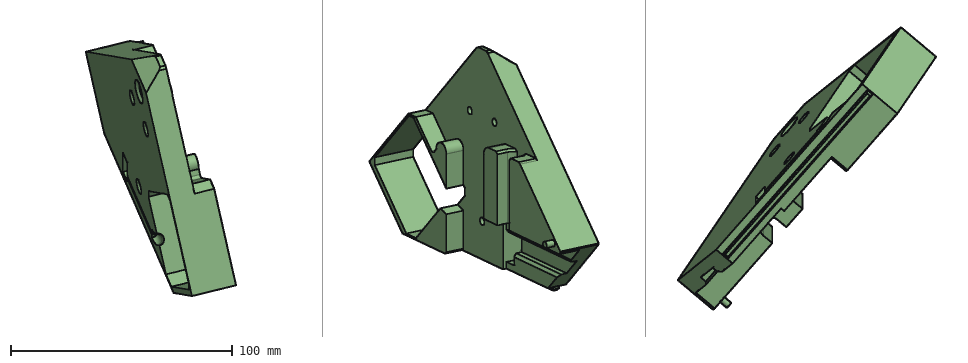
import cadquery as cq
import math

BODY_DEPTH = 21.0
PLATE_DEPTH = 11.65
BODY_HEIGHT = 100.4
UPPER_SIDE_SUM = 104.3
LOWER_SIDE_DIFF = 50.58
LEFT_CORNER_X = -77.15
TOP_FLAT_HALF = 3.2
TOP_BEVEL_HALF = 4.6
SLANT_START_Z = 93.7
SLANT_END_Y = 9.1

WINDOW_CENTRE = (43.5, 29.3)
WINDOW_HALF_WIDTH = 29.4
WINDOW_HALF_HEIGHT = 28.4
WINDOW_UPPER_LEFT_DIFF = -16.2
WINDOW_LOWER_RIGHT_DIFF = 46.5
WINDOW_LOWER_LEFT_SUM = 40.5
WINDOW_UPPER_RIGHT_SUM = 103.0
WINDOW_WALL = (UPPER_SIDE_SUM - WINDOW_UPPER_RIGHT_SUM) / math.sqrt(2)

GAP_HALF = 15.1
BLOCK_TOP_Z = 60.4
BLOCK_BOTTOM_Z = 25.4
BLOCK_EDGE_CUT = 0.6
BLOCK_ROUND = 4.3
UPPER_LEFT_WALL = 1.9
FINGER_RADIUS = 4.1
FINGER_CENTRE_Z = 48.0
FINGER_FOOT_X = 26.0
FINGER_FOOT_RADIUS = 1.6
RIGHT_BLOCK_SIDE_Z = 19.1
RIGHT_BLOCK_TOP_Z = 20.7
RIGHT_BLOCK_CHAMFER = 1.0

SLOT_X = -31.2
SLOT_Y = 15.7
SLOT_RADIUS = 4.85
SLOT_CHAMFER = 1.1

SCREW_POSITIONS = [(-10.0, 68.25), (10.0, 68.25), (0.0, 18.25)]
SCREW_DIAMETER = 3.5
SCREW_HEAD_DIAMETER = 7.0
RECESS_POSITION = (0.0, 83.2)
RECESS_DIAMETER = 11.2
RECESS_FLOOR_DIAMETER = 8.3

PORT_LEFT, PORT_RIGHT = -23.1, -17.0
PORT_BOTTOM, PORT_TOP = 3.3, 16.3
GROOVE_Z = 6.5
GROOVE_WIDTH = 1.35
GROOVE_DEPTH = 1.5
CABLE_START_X = 19.0
CABLE_RADIUS = 2.75
CABLE_BEND_RADIUS = 8.0
CABLE_BEND_ANGLE = 45.0

POCKET_FLOOR_Y = 9.8
POCKET_ROUND = 2.0
CHANNEL_FLOOR_Y = 5.65
CHANNEL_BEVEL_Y = 8.6
CHANNEL_BOTTOM, CHANNEL_TOP = 8.9, 17.2
CHANNEL_BEVEL = 1.6

RAIL_DROP = 2.28
RAIL_SHOULDER = 1.2
RAIL_FRONT_Y, RAIL_BACK_Y = 3.5, 6.6
RAIL_TAPER = 0.7
RAIL_HALF_LENGTH = 50.2
RAIL_END_TAPER = 1.0
PIN_X, PIN_Z = -71.35, 29.5
PIN_DIAMETER = 3.1
PIN_LENGTH = 4.5

MARGIN = 5.0


def front_plane(y):
    """Sketch plane at depth y with local axes (X, Z); it extrudes toward -Y."""
    return cq.Workplane("XZ", origin=(0, y, 0))


def prism(points, y_from, y_to):
    """Prism with an (x, z) outline between two depths."""
    return front_plane(y_from).polyline(points).close().extrude(y_from - y_to)


def cylinder(position, diameter, y_from, y_to):
    x, z = position
    return front_plane(y_from).center(x, z).circle(diameter / 2).extrude(y_from - y_to)


def cone(position, front_diameter, back_diameter):
    """Cone with 45 degree sides that narrows inward from the front face."""
    x, z = position
    depth = (front_diameter - back_diameter) / 2
    solid = cq.Solid.makeCone(
        front_diameter / 2, back_diameter / 2, depth, cq.Vector(x, 0, z), cq.Vector(0, 1, 0)
    )
    return cq.Workplane(obj=solid)


def window_outline(offset):
    """Corners of the window, moved outward by offset, clockwise from the lower left flat."""
    x, z = WINDOW_CENTRE
    slant = offset * math.sqrt(2)
    left, right = x - WINDOW_HALF_WIDTH - offset, x + WINDOW_HALF_WIDTH + offset
    bottom, top = z - WINDOW_HALF_HEIGHT - offset, z + WINDOW_HALF_HEIGHT + offset
    upper_left = WINDOW_UPPER_LEFT_DIFF - slant
    lower_right = WINDOW_LOWER_RIGHT_DIFF + slant
    lower_left = WINDOW_LOWER_LEFT_SUM - slant
    upper_right = WINDOW_UPPER_RIGHT_SUM + slant
    return [
        (left, lower_left - left),
        (left, left - upper_left),
        (top + upper_left, top),
        (upper_right - top, top),
        (right, upper_right - right),
        (right, right - lower_right),
        (bottom + lower_right, bottom),
        (lower_left - bottom, bottom),
    ]


def body_outline():
    right_corner_x = (UPPER_SIDE_SUM + LOWER_SIDE_DIFF) / 2
    bevel_z = UPPER_SIDE_SUM - TOP_BEVEL_HALF
    return [
        (-LOWER_SIDE_DIFF, 0),
        (LEFT_CORNER_X, -LEFT_CORNER_X - LOWER_SIDE_DIFF),
        (LEFT_CORNER_X, UPPER_SIDE_SUM + LEFT_CORNER_X),
        (-TOP_BEVEL_HALF, bevel_z),
        (-TOP_FLAT_HALF, BODY_HEIGHT),
        (TOP_FLAT_HALF, BODY_HEIGHT),
        (TOP_BEVEL_HALF, bevel_z),
        (right_corner_x, right_corner_x - LOWER_SIDE_DIFF),
        (LOWER_SIDE_DIFF, 0),
    ]


def slot_outline(radius):
    """U shape of the slot on the top of the left block, open toward the back."""
    open_end = BODY_DEPTH + MARGIN - SLOT_Y
    return (
        cq.Workplane("XY", origin=(SLOT_X, SLOT_Y, BLOCK_TOP_Z))
        .moveTo(-radius, open_end)
        .lineTo(-radius, 0)
        .threePointArc((0, -radius), (radius, 0))
        .lineTo(radius, open_end)
        .close()
    )


def left_block():
    """Raised block behind the left part of the plate, with the vertical slot."""
    top_left_x = BLOCK_TOP_Z - UPPER_SIDE_SUM
    block = prism(
        [
            (-LOWER_SIDE_DIFF - BLOCK_BOTTOM_Z, BLOCK_BOTTOM_Z),
            (LEFT_CORNER_X, -LEFT_CORNER_X - LOWER_SIDE_DIFF),
            (LEFT_CORNER_X, UPPER_SIDE_SUM + LEFT_CORNER_X),
            (top_left_x - BLOCK_EDGE_CUT, BLOCK_TOP_Z - BLOCK_EDGE_CUT),
            (top_left_x + BLOCK_EDGE_CUT / 2, BLOCK_TOP_Z),
            (-GAP_HALF, BLOCK_TOP_Z),
            (-GAP_HALF, BLOCK_BOTTOM_Z),
        ],
        PLATE_DEPTH,
        BODY_DEPTH,
    )
    block = block.edges("|Y and >X and >Z").fillet(BLOCK_ROUND)
    slot = slot_outline(SLOT_RADIUS).extrude(BLOCK_BOTTOM_Z - BLOCK_TOP_Z)
    slot_mouth = slot_outline(SLOT_RADIUS + SLOT_CHAMFER).extrude(-SLOT_CHAMFER, taper=45)
    return block.cut(slot).cut(slot_mouth)


def right_walls():
    """Raised walls around the window, with a cable opening toward the middle of the part."""
    top_right = window_outline(WINDOW_WALL)[3]
    top_z = top_right[1]
    right_corner_x = (UPPER_SIDE_SUM + LOWER_SIDE_DIFF) / 2
    upper_left_diff = WINDOW_UPPER_LEFT_DIFF - UPPER_LEFT_WALL * math.sqrt(2)
    finger_x = GAP_HALF + FINGER_RADIUS
    foot = (FINGER_FOOT_X, FINGER_FOOT_X - upper_left_diff)
    walls = (
        front_plane(PLATE_DEPTH)
        .moveTo(GAP_HALF + RIGHT_BLOCK_CHAMFER, 0)
        .lineTo(LOWER_SIDE_DIFF, 0)
        .lineTo(right_corner_x, right_corner_x - LOWER_SIDE_DIFF)
        .lineTo(*top_right)
        .lineTo(top_z + upper_left_diff, top_z)
        .lineTo(*foot)
        .lineTo(finger_x + FINGER_RADIUS, FINGER_CENTRE_Z)
        .threePointArc((finger_x, FINGER_CENTRE_Z + FINGER_RADIUS), (GAP_HALF, FINGER_CENTRE_Z))
        .lineTo(GAP_HALF, GAP_HALF - WINDOW_UPPER_LEFT_DIFF)
        .lineTo(*WINDOW_CENTRE)
        .lineTo(WINDOW_LOWER_LEFT_SUM - RIGHT_BLOCK_TOP_Z, RIGHT_BLOCK_TOP_Z)
        .lineTo(GAP_HALF, RIGHT_BLOCK_SIDE_Z)
        .lineTo(GAP_HALF, RIGHT_BLOCK_CHAMFER)
        .close()
        .extrude(PLATE_DEPTH - BODY_DEPTH)
    )
    foot_middle = (foot[0], (PLATE_DEPTH + BODY_DEPTH) / 2, foot[1])
    return walls.edges(cq.NearestToPointSelector(foot_middle)).fillet(FINGER_FOOT_RADIUS)


def slanted_tip():
    """Wedge that is cut from the front of the top corner."""
    profile = [(0, SLANT_START_Z), (SLANT_END_Y, BODY_HEIGHT), (0, BODY_HEIGHT)]
    return cq.Workplane("YZ").polyline(profile).close().extrude(UPPER_SIDE_SUM, both=True)


def pocket():
    """Shallow pocket and deeper bevelled channel that run in from the lower left side."""
    length = PORT_RIGHT - LEFT_CORNER_X
    shallow = prism(
        [
            (LEFT_CORNER_X, 0),
            (LEFT_CORNER_X, BLOCK_BOTTOM_Z),
            (PORT_RIGHT, BLOCK_BOTTOM_Z),
            (PORT_RIGHT, 0),
        ],
        POCKET_FLOOR_Y,
        PLATE_DEPTH,
    )
    shallow = shallow.edges("|Y and >X and >Z").fillet(POCKET_ROUND)
    channel = (
        cq.Workplane("YZ", origin=(LEFT_CORNER_X, 0, 0))
        .polyline(
            [
                (CHANNEL_FLOOR_Y, CHANNEL_BOTTOM),
                (CHANNEL_FLOOR_Y, CHANNEL_TOP),
                (CHANNEL_BEVEL_Y, CHANNEL_TOP),
                (POCKET_FLOOR_Y, CHANNEL_TOP + CHANNEL_BEVEL),
                (POCKET_FLOOR_Y, CHANNEL_BOTTOM - CHANNEL_BEVEL),
                (CHANNEL_BEVEL_Y, CHANNEL_BOTTOM),
            ]
        )
        .close()
        .extrude(length)
    )
    return shallow.union(channel)


def cable_path():
    """Narrow groove from the port and a round cable duct that bends up into the window."""
    groove = (
        cq.Workplane("XY", origin=(0, 0, GROOVE_Z - GROOVE_WIDTH / 2))
        .moveTo(PORT_RIGHT, 0)
        .rect(CABLE_START_X - PORT_RIGHT, GROOVE_DEPTH, centered=False)
        .extrude(GROOVE_WIDTH)
    )

    def bend_point(degrees):
        turn = math.radians(degrees)
        x = CABLE_START_X + CABLE_BEND_RADIUS * math.sin(turn)
        z = GROOVE_Z + CABLE_BEND_RADIUS * (1 - math.cos(turn))
        return x, z

    end_x, end_z = bend_point(CABLE_BEND_ANGLE)
    path = (
        cq.Workplane("XZ")
        .moveTo(CABLE_START_X, GROOVE_Z)
        .threePointArc(bend_point(CABLE_BEND_ANGLE / 2), (end_x, end_z))
        .lineTo(end_x + MARGIN, end_z + MARGIN)
    )
    start = cq.Workplane("YZ", origin=(CABLE_START_X, 0, GROOVE_Z))
    return groove.union(start.circle(CABLE_RADIUS).sweep(path))


def bottom_rail():
    """Rail along the bottom edge whose lower part tapers on all sides."""
    width = RAIL_BACK_Y - RAIL_FRONT_Y
    middle_y = (RAIL_BACK_Y + RAIL_FRONT_Y) / 2
    plane = cq.Workplane("XY", origin=(0, middle_y, -RAIL_SHOULDER))
    shoulder = plane.rect(2 * RAIL_HALF_LENGTH, width).extrude(RAIL_SHOULDER)
    tapered = (
        plane.rect(2 * RAIL_HALF_LENGTH, width)
        .workplane(offset=RAIL_SHOULDER - RAIL_DROP)
        .rect(2 * (RAIL_HALF_LENGTH - RAIL_END_TAPER), width - 2 * RAIL_TAPER)
        .loft()
    )
    return shoulder.union(tapered)


def build():
    body = prism(body_outline(), 0, PLATE_DEPTH)
    body = body.cut(slanted_tip()).cut(pocket())
    body = body.union(left_block()).union(right_walls())
    body = body.cut(prism(window_outline(0), 0, BODY_DEPTH))
    port = [
        (PORT_LEFT, PORT_BOTTOM),
        (PORT_LEFT, PORT_TOP),
        (PORT_RIGHT, PORT_TOP),
        (PORT_RIGHT, PORT_BOTTOM),
    ]
    body = body.cut(prism(port, 0, BODY_DEPTH))
    for position in SCREW_POSITIONS:
        body = body.cut(cylinder(position, SCREW_DIAMETER, 0, BODY_DEPTH))
        body = body.cut(cone(position, SCREW_HEAD_DIAMETER, SCREW_DIAMETER))
    body = body.cut(cone(RECESS_POSITION, RECESS_DIAMETER, RECESS_FLOOR_DIAMETER))
    body = body.cut(cable_path())
    pin = cylinder((PIN_X, PIN_Z), PIN_DIAMETER, BODY_DEPTH, BODY_DEPTH + PIN_LENGTH)
    return body.union(bottom_rail()).union(pin)


result = build()